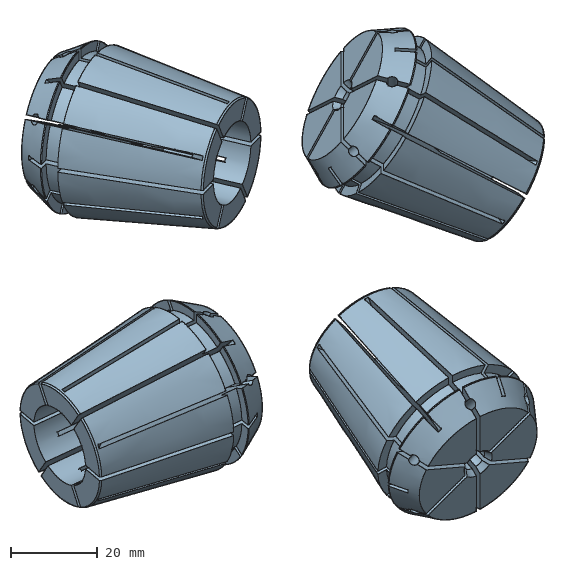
import cadquery as cq
import math


length = 46.0
rim_radius = 41.0 / 2
nose_slope = math.tan(math.radians(30))
nose_cone_end = 6.65
nose_face_radius = rim_radius - nose_cone_end * nose_slope

groove_start = 7.0
groove_end = 11.15
groove_radius = 18.1

taper_slope = math.tan(math.radians(8))
rear_chamfer_length = 0.45
rear_chamfer_depth = 0.28
taper_end = length - rear_chamfer_length

bore_radius = 3.0
mouth_radius = 3.95
mouth_depth = 1.7
clearance_radius = 10.0
clearance_start = 24.4

slots_per_set = 6
slot_pitch = 360 / slots_per_set
slot_width = 1.05
saw_radius = 30.8
cut_overrun = 2.3
nose_slot_end = 45.0
nose_slot_floor = 2.05
rear_slot_end = 2.55
rear_slot_floor = 3.75

relief_diameter = 2.58
relief_position = 3.15
relief_depth = 9.2


def nose_cone_radius(x):
    return nose_face_radius + x * nose_slope


def taper_radius(x):
    return rim_radius - (x - groove_end) * taper_slope


def make_body():
    outline = [
        (0, mouth_radius),
        (0, nose_face_radius),
        (nose_cone_end, rim_radius),
        (groove_start, rim_radius),
        (groove_start, groove_radius),
        (groove_end, groove_radius),
        (groove_end, rim_radius),
        (taper_end, taper_radius(taper_end)),
        (length, taper_radius(taper_end) - rear_chamfer_depth),
        (length, clearance_radius),
        (clearance_start, clearance_radius),
        (clearance_start, bore_radius),
        (mouth_depth, bore_radius),
    ]
    return cq.Workplane("XY").polyline(outline).close().revolve(360, (0, 0, 0), (1, 0, 0))


def saw_cut(open_end, slot_end, surface_radius, floor_radius):
    """Slot along +Z: straight floor from the open end, then the arc of the saw up to the surface."""
    saw_height = floor_radius + saw_radius
    reach = math.sqrt(saw_radius**2 - (saw_height - surface_radius) ** 2)
    saw_x = slot_end + math.copysign(reach, open_end - slot_end)
    saw = (
        cq.Workplane("XZ")
        .center(saw_x, saw_height)
        .circle(saw_radius)
        .extrude(slot_width / 2, both=True)
    )
    straight = (
        cq.Workplane("XZ")
        .moveTo(open_end, floor_radius)
        .lineTo(saw_x, floor_radius)
        .lineTo(saw_x, saw_height)
        .lineTo(open_end, saw_height)
        .close()
        .extrude(slot_width / 2, both=True)
    )
    return saw.union(straight)


def make_nose_slot():
    return saw_cut(-cut_overrun, nose_slot_end, taper_radius(nose_slot_end), nose_slot_floor)


def make_rear_slot():
    return saw_cut(length + cut_overrun, rear_slot_end, nose_cone_radius(rear_slot_end), rear_slot_floor)


def make_relief_hole():
    hole_plane = cq.Plane(
        origin=(relief_position, 0, nose_cone_radius(relief_position)),
        xDir=(0, 1, 0),
        normal=(nose_slope, 0, -1),
    )
    return (
        cq.Workplane(hole_plane)
        .workplane(offset=-cut_overrun)
        .circle(relief_diameter / 2)
        .extrude(cut_overrun + relief_depth)
    )


def cut_around(body, cutter, first_angle):
    for index in range(slots_per_set):
        angle = first_angle + index * slot_pitch
        body = body.cut(cutter.rotate((0, 0, 0), (1, 0, 0), angle))
    return body


result = make_body()
result = cut_around(result, make_nose_slot(), 0)
result = cut_around(result, make_rear_slot(), slot_pitch / 2)
result = cut_around(result, make_relief_hole(), 0)